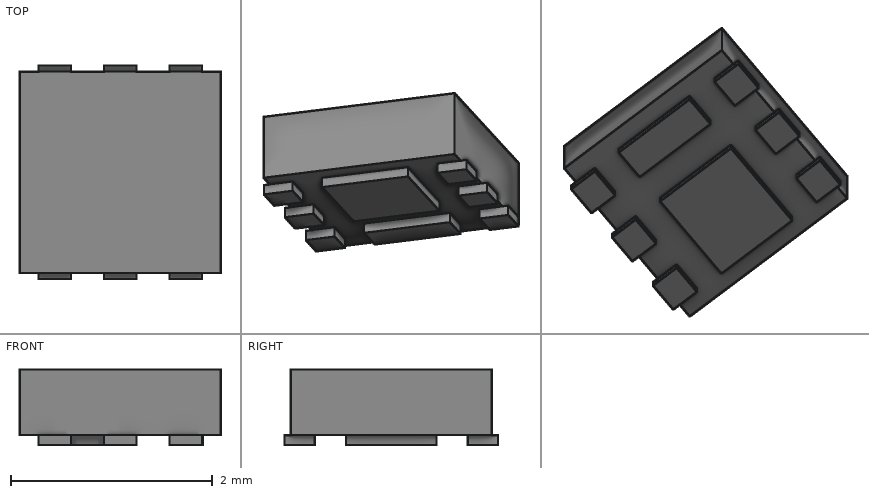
import cadquery as cq

housing_side = 2.0
housing_height = 0.65

metal_thickness = 0.1
lead_span = 2.12
lead_length = 0.3
lead_width = 0.325
lead_pitch = 0.65
leads_per_row = 3

pad_length = 0.899
small_pad_overhang = 0.008

lead_row_y = (lead_span - lead_length) / 2
outer_lead_edge = lead_pitch + lead_width / 2
middle_lead_edge = lead_width / 2
inner_edge_of_last_lead = lead_pitch - lead_width / 2


def make_housing():
    """Plain block whose underside sits on top of the metal."""
    return (
        cq.Workplane("XY")
        .workplane(offset=metal_thickness)
        .rect(housing_side, housing_side)
        .extrude(housing_height)
    )


def make_lead(x, y):
    """One lead centred at (x, y), with its foot on Z = 0."""
    return cq.Workplane("XY").center(x, y).rect(lead_width, lead_length).extrude(metal_thickness)


def make_pad(x_start, x_end):
    """One pad between two X positions, centred in Y."""
    center_x = (x_start + x_end) / 2
    return cq.Workplane("XY").center(center_x, 0).rect(x_end - x_start, pad_length).extrude(metal_thickness)


housing = make_housing()

leads = []
for row_y in (-lead_row_y, lead_row_y):
    for index in range(leads_per_row):
        lead_x = (index - (leads_per_row - 1) / 2) * lead_pitch
        leads.append(make_lead(lead_x, row_y))

large_pad = make_pad(-outer_lead_edge, middle_lead_edge)
small_pad = make_pad(inner_edge_of_last_lead, outer_lead_edge + small_pad_overhang)

result = cq.Compound.makeCompound(
    [housing.val(), *[lead.val() for lead in leads], large_pad.val(), small_pad.val()]
)